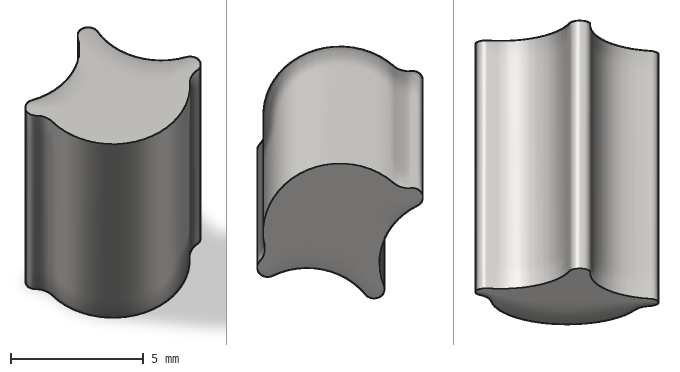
import cadquery as cq
import math

length = 10.0
body_radius = 2.9
tip_radius = 0.4
side_tip_offset = 3.1
nose_tip_offset = 2.7
fillet_radius = 0.8

nose_center = (tip_radius, 0.0)
body_center = (tip_radius + nose_tip_offset, 0.0)
side_center = (body_center[0], side_tip_offset)

flute_reach = (nose_tip_offset**2 + side_tip_offset**2) / (2 * nose_tip_offset)
flute_center = (side_center[0] - flute_reach, side_tip_offset)
flute_radius = flute_reach - tip_radius

body_to_fillet = body_radius + fillet_radius
tip_to_fillet = tip_radius + fillet_radius
fillet_rise = (body_to_fillet**2 + side_tip_offset**2 - tip_to_fillet**2) / (2 * side_tip_offset)
fillet_run = math.sqrt(body_to_fillet**2 - fillet_rise**2)
fillet_center = (body_center[0] + fillet_run, fillet_rise)


def toward(center, target, radius):
    """Point on the circle around center, on the ray to target."""
    angle = math.atan2(target[1] - center[1], target[0] - center[0])
    return (center[0] + radius * math.cos(angle), center[1] + radius * math.sin(angle))


def arc_middle(center, start, end, radius):
    """Middle of the minor arc between two points on a circle."""
    chord_middle = ((start[0] + end[0]) / 2, (start[1] + end[1]) / 2)
    return toward(center, chord_middle, radius)


def mirrored(point):
    return (point[0], -point[1])


nose_end = toward(nose_center, flute_center, tip_radius)
flute_end = toward(side_center, flute_center, tip_radius)
flute_middle = arc_middle(flute_center, nose_end, flute_end, flute_radius)
tip_end = toward(side_center, fillet_center, tip_radius)
tip_top = (side_center[0], side_center[1] + tip_radius)
fillet_end = toward(body_center, fillet_center, body_radius)
fillet_middle = arc_middle(fillet_center, tip_end, fillet_end, fillet_radius)

nose_point = (nose_center[0] - tip_radius, 0.0)
body_point = (body_center[0] + body_radius, 0.0)

profile = (
    cq.Workplane("XY")
    .moveTo(*nose_end)
    .threePointArc(flute_middle, flute_end)
    .threePointArc(tip_top, tip_end)
    .threePointArc(fillet_middle, fillet_end)
    .threePointArc(body_point, mirrored(fillet_end))
    .threePointArc(mirrored(fillet_middle), mirrored(tip_end))
    .threePointArc(mirrored(tip_top), mirrored(flute_end))
    .threePointArc(mirrored(flute_middle), mirrored(nose_end))
    .threePointArc(nose_point, nose_end)
    .close()
)

result = profile.extrude(length)